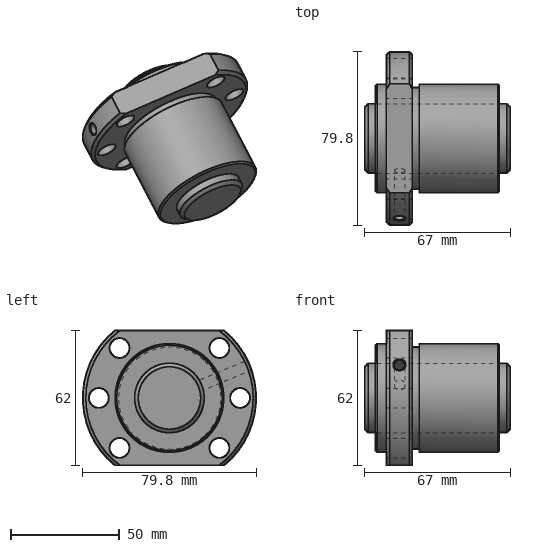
import cadquery as cq
import math

flange_thickness = 12.0
front_boss_length = 5.0
groove_width = 3.1
nut_length = 56.9
shaft_length = 67.0
nut_front = -front_boss_length
nut_rear = nut_front + nut_length
groove_end = flange_thickness + groove_width
shaft_front = nut_front - (shaft_length - nut_length) / 2

flange_diameter = 79.75
body_diameter = 50.0
groove_diameter = 47.0
shaft_diameter = 32.0
flange_height = 62.0

flange_chamfer = 1.4
body_chamfer = 0.8
shaft_chamfer = 1.7

bolt_hole_diameter = 9.0
bolt_circle_diameter = 64.9
bolt_spacing_angle = 45.0

lube_hole_diameter = 4.95
lube_chamfer = 0.5
lube_angle = bolt_spacing_angle / 2


def cylinder_x(diameter, start, end):
    """Solid cylinder about the X axis between two X positions."""
    return cq.Workplane("YZ", origin=(start, 0, 0)).circle(diameter / 2).extrude(end - start)


def make_flange():
    """Disc with chamfered rims, cut by two flats and drilled with bolt holes."""
    disc = (
        cylinder_x(flange_diameter, 0, flange_thickness)
        .faces("<X or >X").chamfer(flange_chamfer)
    )
    flats = cq.Workplane("XY").box(2 * flange_thickness, flange_diameter, flange_height)
    flange = disc.intersect(flats)
    for side_angle in (0, 180):
        for step in (-1, 0, 1):
            angle = math.radians(side_angle + step * bolt_spacing_angle)
            hole = cylinder_x(bolt_hole_diameter, 0, flange_thickness).translate((
                0,
                bolt_circle_diameter / 2 * math.cos(angle),
                bolt_circle_diameter / 2 * math.sin(angle),
            ))
            flange = flange.cut(hole)
    return flange


def make_lube_hole():
    """Radial drill from the flange rim to the bore, with a countersunk mouth."""
    angle = math.radians(lube_angle)
    inward = cq.Vector(0, math.cos(angle), -math.sin(angle))
    axis_point = cq.Vector(flange_thickness / 2, 0, 0)
    mouth = axis_point - inward * (flange_diameter / 2)
    radius = lube_hole_diameter / 2
    drill = cq.Solid.makeCylinder(radius, flange_diameter / 2, mouth, inward)
    countersink = cq.Solid.makeCone(radius + lube_chamfer, radius, lube_chamfer, mouth, inward)
    return cq.Workplane(drill.fuse(countersink))


def make_nut():
    """Flanged nut with a front boss, a relief groove and a long rear body."""
    front_boss = cylinder_x(body_diameter, nut_front, 0).faces("<X").chamfer(body_chamfer)
    groove_core = cylinder_x(groove_diameter, flange_thickness, groove_end)
    rear_body = cylinder_x(body_diameter, groove_end, nut_rear).faces(">X").chamfer(body_chamfer)
    bore = cylinder_x(shaft_diameter, nut_front, nut_rear)
    nut = make_flange().union(front_boss).union(groove_core).union(rear_body)
    return nut.cut(make_lube_hole()).cut(bore)


def make_shaft():
    """Plain shaft filling the bore, chamfered at both protruding ends."""
    return (
        cylinder_x(shaft_diameter, shaft_front, shaft_front + shaft_length)
        .faces("<X or >X").chamfer(shaft_chamfer)
    )


nut = make_nut()
shaft = make_shaft()

result = cq.Compound.makeCompound([nut.val(), shaft.val()])